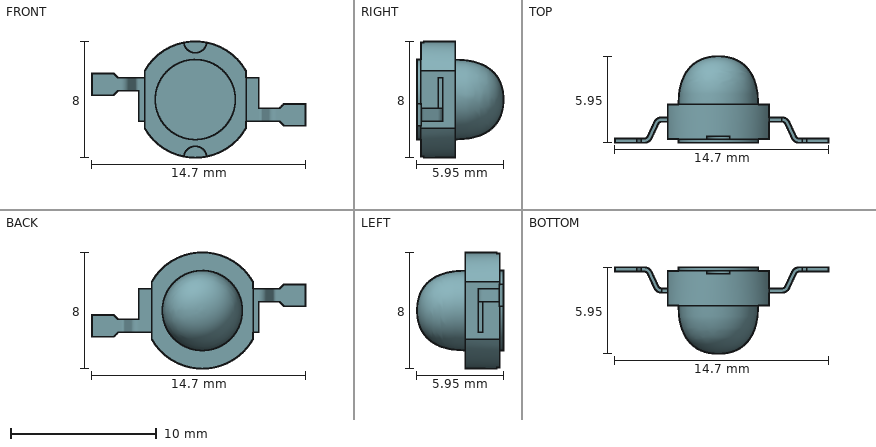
import cadquery as cq
import math


housing_diameter = 8.0
housing_width = 6.97
housing_thickness = 2.38
slug_diameter = 5.5
slug_height = 0.26
housing_back = slug_height + housing_thickness

notch_radius = 0.79
notch_depth = 0.2

lens_radius = slug_diameter / 2
overall_depth = 5.95
lens_height = overall_depth - housing_back
dome_fullness = 0.64

overall_length = 14.67
lead_thickness = 0.31
lead_rise = 1.45
root_width = 3.01
neck_width = 0.91
pad_width = 1.51
pad_length = 1.5
neck_straight = 0.51
bend_run = 1.2
bend_angle = 65
bend_inner_radius = 0.25
bend_outer_radius = bend_inner_radius + lead_thickness
left_root_overhang = 0.4
lead_embed = 0.15

pad_taper = (pad_width - neck_width) / 2
lead_reach = bend_run + neck_straight + pad_length
right_root_overhang = overall_length - housing_width - 2 * lead_reach - left_root_overhang


def disc(diameter, start, thickness):
    """Cylinder on the lens axis, growing toward +Y from Y = start."""
    return cq.Workplane("XZ", origin=(0, start, 0)).circle(diameter / 2).extrude(-thickness)


def make_housing_shell():
    shell = disc(housing_diameter, slug_height, housing_thickness)
    flats = cq.Workplane("XY").box(housing_width, 2 * housing_back, housing_diameter)
    shell = shell.intersect(flats)
    for side in (1, -1):
        notch = disc(2 * notch_radius, slug_height, notch_depth)
        shell = shell.cut(notch.translate((0, 0, side * housing_diameter / 2)))
    return shell.union(disc(slug_diameter, 0, slug_height))


def make_bent_neck(root_end, bottom):
    """S-bent strip that drops from the root plate at X = root_end to the mounting plane."""
    bend_end = root_end + bend_run
    half_angle = math.radians(bend_angle / 2)
    slope_run = lead_rise / math.tan(math.radians(bend_angle))
    upper_corner = root_end + (bend_run - slope_run) / 2
    lower_corner = upper_corner + slope_run
    mitre = lead_thickness * math.tan(half_angle)

    front_upper = (upper_corner - mitre / 2, lead_rise)
    front_lower = (lower_corner - mitre / 2, 0)
    back_lower = (lower_corner + mitre / 2, lead_thickness)
    back_upper = (upper_corner + mitre / 2, lead_rise + lead_thickness)
    strip = (
        cq.Workplane("XY", origin=(0, 0, bottom))
        .moveTo(root_end, lead_rise)
        .lineTo(*front_upper)
        .lineTo(*front_lower)
        .lineTo(bend_end, 0)
        .lineTo(bend_end, lead_thickness)
        .lineTo(*back_lower)
        .lineTo(*back_upper)
        .lineTo(root_end, lead_rise + lead_thickness)
        .close()
        .extrude(neck_width)
    )
    bends = (
        (front_upper, bend_inner_radius),
        (back_upper, bend_outer_radius),
        (front_lower, bend_outer_radius),
        (back_lower, bend_inner_radius),
    )
    middle = bottom + neck_width / 2
    for (x, y), radius in bends:
        strip = strip.edges(cq.selectors.NearestToPointSelector((x, y, middle))).fillet(radius)
    return strip


def make_pad(start, bottom):
    """Flat neck end that widens through two tapers into the soldering pad."""
    pad_start = start + neck_straight
    tip = pad_start + pad_length
    taper_start = pad_start - pad_taper
    neck_top = bottom + neck_width
    outline = [
        (start, bottom),
        (taper_start, bottom),
        (pad_start, bottom - pad_taper),
        (tip, bottom - pad_taper),
        (tip, neck_top + pad_taper),
        (pad_start, neck_top + pad_taper),
        (taper_start, neck_top),
        (start, neck_top),
    ]
    return cq.Workplane("XZ").polyline(outline).close().extrude(-lead_thickness)


def make_lead(root_overhang):
    """Lead on the +X side, with its neck at the lower end of the root plate."""
    root_start = housing_width / 2 - lead_embed
    root_length = lead_embed + root_overhang
    neck_bottom = -root_width / 2
    root = cq.Workplane("XY").box(root_length, lead_thickness, root_width, centered=False)
    root = root.translate((root_start, lead_rise, neck_bottom))
    root_end = root_start + root_length
    neck = make_bent_neck(root_end, neck_bottom)
    pad = make_pad(root_end + bend_run, neck_bottom)
    return root.union(neck).union(pad)


def make_housing():
    """Housing with both leads; the left lead is turned half a turn about the lens axis."""
    right_lead = make_lead(right_root_overhang)
    left_lead = make_lead(left_root_overhang).rotate((0, 0, 0), (0, 1, 0), 180)
    return make_housing_shell().union(right_lead).union(left_lead)


def make_lens():
    """Lens resting on the back of the housing, revolved about the Y axis."""
    profile_poles = [
        (lens_radius, housing_back),
        (lens_radius, housing_back + dome_fullness * lens_height),
        (dome_fullness * lens_radius, overall_depth),
        (0, overall_depth),
    ]
    return (
        cq.Workplane("XY")
        .moveTo(0, housing_back)
        .lineTo(lens_radius, housing_back)
        .bezier(profile_poles)
        .close()
        .revolve(360, (0, 0, 0), (0, 1, 0))
    )


housing = make_housing()
lens = make_lens()

result = cq.Compound.makeCompound([housing.solids().val(), lens.val()])